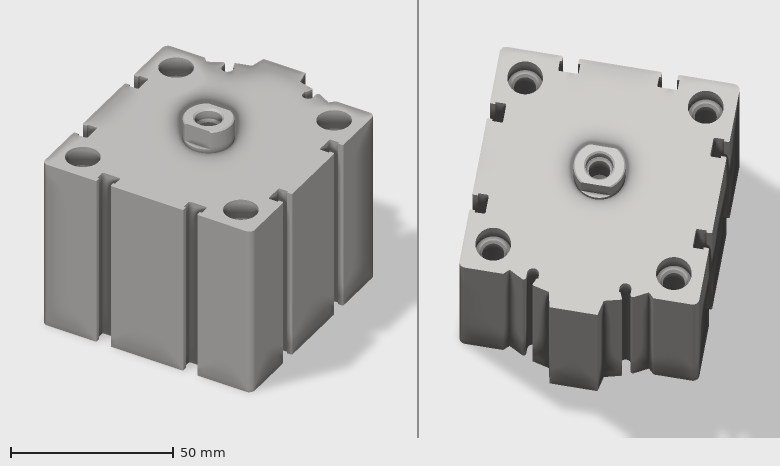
import cadquery as cq
import math

side = 75.0
half_side = side / 2
body_height = 60.0
corner_radius = 2.0

hole_half_spacing = 28.25
hole_radius = 6.8 / 2
hole_mouth_radius = 8.4 / 2
counterbore_radius = 11.0 / 2
counterbore_depth = 6.8
counterbore_floor = body_height - counterbore_depth
hole_mouth_depth = hole_mouth_radius - hole_radius

slot_offset = 15.5
slot_mouth_width = 5.0
slot_inner_width = 6.4
slot_depth = 5.1
slot_lip = 1.75
slot_mouth_fillet = 0.5
slot_floor_fillet = 0.5

rail_top = (7.5, half_side + 8.5)
rail_foot = (8.6, 41.0)
ledge_tip = (14.1, 39.6)
ledge_underside = (13.1, 37.2)
ledge_tip_fillet = 0.3
groove_x = 14.45
groove_y = 35.9
groove_radius = 1.85
groove_inner_wall_x = groove_x - groove_radius
groove_outer_wall_x = groove_x + groove_radius
ridge_crest = (groove_outer_wall_x, 38.8)
ridge_crest_fillet = 0.8
valley = (21.8, 35.8)
shoulder_x = 23.5

rod_radius = 16.0 / 2
rod_projection = 8.0
rod_depth_in_body = 20.0
rod_bottom = body_height - rod_depth_in_body
rod_top = body_height + rod_projection
rod_top_chamfer = 0.4
flat_width = 13.0
flat_bottom = body_height + 1.4

bore_radius = 8.57 / 2
bore_chamfer = 0.55
bore_depth = 3.35
pilot_mouth_radius = 8.2 / 2
pilot_radius = 6.65 / 2
pilot_depth = 15.0
drill_half_angle = math.radians(118.0 / 2)


def vertical_edge_near(point):
    """Selector for the upright edge of the body that passes closest to an (x, y) point."""
    return cq.selectors.NearestToPointSelector((*point, body_height / 2))


def revolve_about_z(points):
    """Solid of revolution about Z of a closed outline of (radius, z) points."""
    return cq.Workplane("XZ").polyline(points).close().revolve(360, (0, 0, 0), (0, 1, 0))


def make_extrusion():
    half = (
        cq.Workplane("XY")
        .moveTo(0, -half_side)
        .lineTo(half_side, -half_side)
        .lineTo(half_side, half_side)
        .lineTo(shoulder_x, half_side)
        .lineTo(*valley)
        .lineTo(*ridge_crest)
        .lineTo(groove_outer_wall_x, groove_y)
        .threePointArc((groove_x, groove_y - groove_radius), (groove_inner_wall_x, groove_y))
        .lineTo(groove_inner_wall_x, ledge_underside[1])
        .lineTo(*ledge_underside)
        .lineTo(*ledge_tip)
        .lineTo(*rail_foot)
        .lineTo(*rail_top)
        .lineTo(0, rail_top[1])
        .close()
        .extrude(body_height)
    )
    rounded_edges = [
        ((half_side, -half_side), corner_radius),
        ((half_side, half_side), corner_radius),
        (ridge_crest, ridge_crest_fillet),
        (ledge_tip, ledge_tip_fillet),
    ]
    for point, radius in rounded_edges:
        half = half.edges("|Z").edges(vertical_edge_near(point)).fillet(radius)
    return half.union(half.mirror("YZ"))


def cut_slots(body):
    """Cut the T-slots and round their mouths and floors, on the -Y, +X and -X sides in turn."""
    mouth = cq.Workplane("XY").rect(slot_mouth_width, 2 * slot_lip).extrude(body_height)
    chamber = (
        cq.Workplane("XY")
        .center(0, (slot_lip + slot_depth) / 2)
        .rect(slot_inner_width, slot_depth - slot_lip)
        .extrude(body_height)
    )
    slot = mouth.union(chamber).translate((0, -half_side, 0))
    for turn in (0, 90, -90):
        cosine = round(math.cos(math.radians(turn)))
        sine = round(math.sin(math.radians(turn)))
        for offset in (-slot_offset, slot_offset):
            body = body.cut(slot.translate((offset, 0, 0)).rotate((0, 0, 0), (0, 0, 1), turn))
            rounded_edges = [
                (slot_mouth_width / 2, -half_side, slot_mouth_fillet),
                (slot_inner_width / 2, slot_depth - half_side, slot_floor_fillet),
            ]
            for half_width, y, radius in rounded_edges:
                for x in (offset - half_width, offset + half_width):
                    corner = (x * cosine - y * sine, x * sine + y * cosine)
                    body = body.edges("|Z").edges(vertical_edge_near(corner)).fillet(radius)
    return body


def make_mounting_hole():
    return revolve_about_z(
        [
            (0, 0),
            (hole_radius, 0),
            (hole_radius, counterbore_floor - hole_mouth_depth),
            (hole_mouth_radius, counterbore_floor),
            (counterbore_radius, counterbore_floor),
            (counterbore_radius, body_height),
            (0, body_height),
        ]
    )


def make_body():
    body = cut_slots(make_extrusion())
    hole = make_mounting_hole()
    for x in (-hole_half_spacing, hole_half_spacing):
        for y in (-hole_half_spacing, hole_half_spacing):
            body = body.cut(hole.translate((x, y, 0)))
    rod_seat = (
        cq.Workplane("XY", origin=(0, 0, rod_bottom)).circle(rod_radius).extrude(rod_depth_in_body)
    )
    return body.cut(rod_seat)


def make_rod_bore():
    step_z = rod_top - bore_depth
    pilot_bottom = rod_top - pilot_depth
    pilot_mouth_depth = pilot_mouth_radius - pilot_radius
    tip_cone_height = pilot_radius / math.tan(drill_half_angle)
    return revolve_about_z(
        [
            (0, rod_top),
            (bore_radius + bore_chamfer, rod_top),
            (bore_radius, rod_top - bore_chamfer),
            (bore_radius, step_z),
            (pilot_mouth_radius, step_z),
            (pilot_radius, step_z - pilot_mouth_depth),
            (pilot_radius, pilot_bottom),
            (0, pilot_bottom - tip_cone_height),
        ]
    )


def make_rod():
    rod = (
        cq.Workplane("XY", origin=(0, 0, rod_bottom))
        .circle(rod_radius)
        .extrude(rod_top - rod_bottom)
        .faces(">Z")
        .chamfer(rod_top_chamfer)
    )
    flats_base = cq.Workplane("XY", origin=(0, 0, flat_bottom))
    kept_slab = flats_base.rect(2 * rod_radius, flat_width).extrude(rod_top - flat_bottom)
    flatted_zone = flats_base.rect(2 * rod_radius, 2 * rod_radius).extrude(rod_top - flat_bottom)
    outside_flats = flatted_zone.cut(kept_slab)
    return rod.cut(outside_flats).cut(make_rod_bore())


cylinder_body = make_body()
piston_rod = make_rod()

result = cq.Compound.makeCompound([cylinder_body.val(), piston_rod.val()])